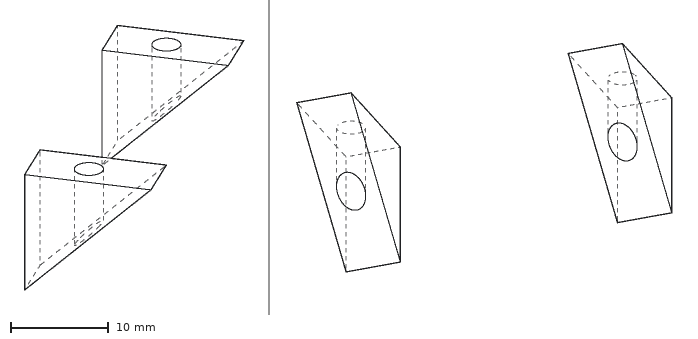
import cadquery as cq

length_x = 13.43
span_y = 36.0
height_z = 13.18

wedge_thickness = 6.0
hole_diameter = 3.0
hole_x = 6.0
hole_y = wedge_thickness / 2


def make_wedge(start_y):
    """Triangular block with a flat top and a vertical hole, occupying +Y from start_y."""
    block = (
        cq.Workplane("XZ", origin=(0, start_y, 0))
        .polyline([(0, 0), (length_x, height_z), (0, height_z)])
        .close()
        .extrude(-wedge_thickness)
    )
    hole = (
        cq.Workplane("XY")
        .center(hole_x, start_y + hole_y)
        .circle(hole_diameter / 2)
        .extrude(height_z)
    )
    return block.cut(hole)


wedge_starts = [0, span_y - wedge_thickness]
wedges = [make_wedge(start_y).val() for start_y in wedge_starts]

result = cq.Compound.makeCompound(wedges)